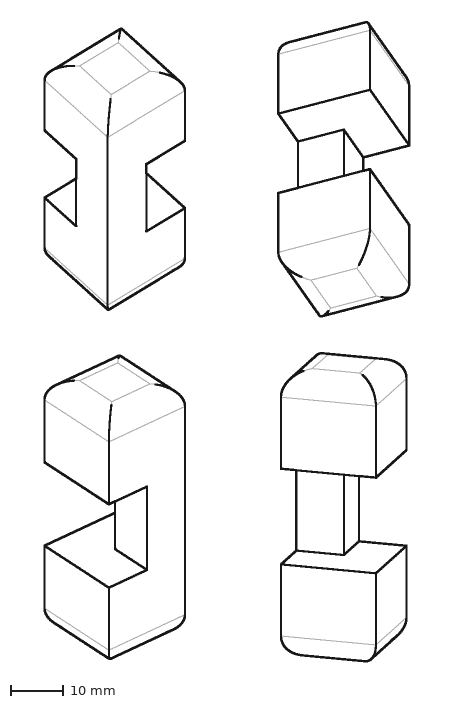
import cadquery as cq

bar_width = 19.05
bar_length = 3 * bar_width
end_round_radius = bar_width / 4

notch_length = bar_width
notch_depth = bar_width / 2


def rounded_bar():
    """Square bar along Z with its end-face edges rounded and its long edges sharp."""
    bar = cq.Workplane("XY").box(bar_width, bar_width, bar_length)
    return bar.faces("<Z or >Z").edges().fillet(end_round_radius)


def side_notch(x_direction, y_direction):
    """Block that cuts away the half of the bar on the side the direction points to."""
    offset = bar_width / 2 - notch_depth / 2
    size_x = notch_depth if x_direction else bar_width
    size_y = notch_depth if y_direction else bar_width
    block = cq.Workplane("XY").box(size_x, size_y, notch_length)
    return block.translate((x_direction * offset, y_direction * offset, 0))


result = rounded_bar().cut(side_notch(-1, 0)).cut(side_notch(0, 1))